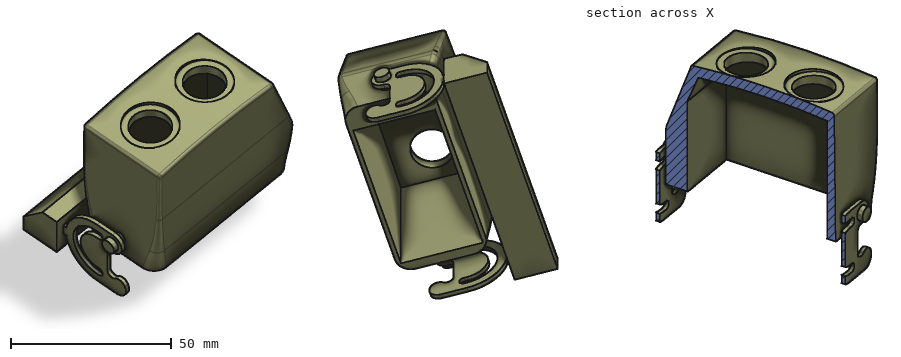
import cadquery as cq
import math


HOOD_HEIGHT = 48.2
HALF_WIDTH = 16.2
BEND_TOP = 26.3
BEND_BOTTOM = 9.9
SIDE_LEAN = 4.6
HALF_LENGTH = 31.4
END_DRAFT = 0.6
KNEE_BOTTOM = 19.3
KNEE_TOP = 22.05
END_SLOPE = 20.1
ROOF_RADIUS = 247.0
ROOF_CENTRE_Y = -4.7
ROOF_EDGE_RADIUS = 1.1
OVERSHOOT = 0.75
MIN_CORNER_RISE = 2.3
RIM_CORNER = 5.25
BEND_BOTTOM_CORNER = 3.3
KNEE_CORNER = 1.5
BEND_TOP_CORNER = 1.4

ENTRY_CENTRE_Y = -4.95
ENTRY_SPACING = 25.0
ENTRY_RADIUS = 6.85
SEAT_RADIUS = 9.2
SEAT_HEIGHT = 47.1
BORE_DEPTH = 6.1

CAVITY_HALF_WIDTH = 13.3
CAVITY_END_PLUS_Y = 23.25
CAVITY_END_MINUS_Y = -28.1
CAVITY_SLOPE_START = 33.1
CAVITY_CEILING = 44.15

PIVOT_Z = 7.1
NECK_RADIUS = 1.9
HEAD_RADIUS = 2.5
HEAD_END = 36.9
PIN_ROOT = 29.65

PLATE_INNER_Y = 33.45
PLATE_THICKNESS = 1.5
PLATE_Z = -1.9
ARC_X = -6.5
EYE_RADIUS = 3.95
RELIEF_RADIUS = 2.0
FRONT_EDGE_X = -2.1
LOWER_RELIEF_Z = -6.85
HOOK_NOSE_X = 3.0
HOOK_NOSE_RADIUS = 2.6
SLOT_RADIUS = 8.35
SLOT_WIDTH = 3.05
SLOT_TAIL = 1.0

BAR_LENGTH = 76.0
BAR_BACK_X = -34.6
BAR_BOTTOM_Z = -9.9
BAR_SIZE = 14.0
BAR_BEVEL = 8.0
TAB_HEIGHT = 3.8


def side_profile():
    """Hood outline across X, symmetric, with the sides curving inward toward the rim."""
    lean = math.radians(SIDE_LEAN)
    bend_radius = (BEND_TOP - BEND_BOTTOM) / math.sin(lean)
    bend_x = HALF_WIDTH - bend_radius * (1 - math.cos(lean))
    rim_x = bend_x - BEND_BOTTOM * math.tan(lean)
    return (
        cq.Workplane("XZ", origin=(0, HALF_LENGTH + OVERSHOOT, 0))
        .moveTo(-rim_x, 0)
        .lineTo(rim_x, 0)
        .lineTo(bend_x, BEND_BOTTOM)
        .tangentArcPoint((HALF_WIDTH, BEND_TOP), relative=False)
        .lineTo(HALF_WIDTH, HOOD_HEIGHT + OVERSHOOT)
        .lineTo(-HALF_WIDTH, HOOD_HEIGHT + OVERSHOOT)
        .lineTo(-HALF_WIDTH, BEND_TOP)
        .tangentArcPoint((-bend_x, BEND_BOTTOM), relative=False)
        .close()
        .extrude(2 * (HALF_LENGTH + OVERSHOOT))
    )


def roof_height(y):
    drop = ROOF_RADIUS - math.sqrt(ROOF_RADIUS**2 - (y - ROOF_CENTRE_Y) ** 2)
    return HOOD_HEIGHT - drop


def end_profile():
    """Hood outline along Y: drafted -Y end, domed roof, knee and slope on the +Y end."""
    slope = math.radians(END_SLOPE)
    knee_radius = (KNEE_TOP - KNEE_BOTTOM) / math.sin(slope)
    knee_y = HALF_LENGTH - knee_radius * (1 - math.cos(slope))
    roof_plus_y = knee_y - (HOOD_HEIGHT - KNEE_TOP) * math.tan(slope)
    roof_plus_y += (HOOD_HEIGHT - roof_height(roof_plus_y)) * math.tan(slope)
    roof_plus_z = KNEE_TOP + (knee_y - roof_plus_y) / math.tan(slope)
    roof_minus_y = -HALF_LENGTH + HOOD_HEIGHT * math.tan(math.radians(END_DRAFT))
    return (
        cq.Workplane("YZ", origin=(-HALF_WIDTH - OVERSHOOT, 0, 0))
        .moveTo(-HALF_LENGTH, 0)
        .lineTo(HALF_LENGTH, 0)
        .lineTo(HALF_LENGTH, KNEE_BOTTOM)
        .tangentArcPoint((knee_y, KNEE_TOP), relative=False)
        .lineTo(roof_plus_y, roof_plus_z)
        .threePointArc((ROOF_CENTRE_Y, HOOD_HEIGHT), (roof_minus_y, roof_height(roof_minus_y)))
        .close()
        .extrude(2 * (HALF_WIDTH + OVERSHOOT))
    )


def corner_radius(z):
    """Corner radius at height z, linear between the heights where the walls bend."""
    stations = [
        (0.0, RIM_CORNER),
        (BEND_BOTTOM, BEND_BOTTOM_CORNER),
        (KNEE_BOTTOM, KNEE_CORNER),
        (BEND_TOP, BEND_TOP_CORNER),
        (HOOD_HEIGHT, ROOF_EDGE_RADIUS),
    ]
    for (z0, r0), (z1, r1) in zip(stations, stations[1:]):
        if z <= z1:
            return r0 + (r1 - r0) * max(z - z0, 0.0) / (z1 - z0)
    return ROOF_EDGE_RADIUS


def round_hood(body):
    """Fillet the four corners with a radius that varies with height, then the roof edge."""
    fillet = cq.occ_impl.shapes.BRepFilletAPI_MakeFillet(body.wrapped)
    for edge in body.Edges():
        if abs(edge.endPoint().z - edge.startPoint().z) > MIN_CORNER_RISE:
            fillet.Add(edge.wrapped)
    for contour in range(1, fillet.NbContours() + 1):
        for index in range(1, fillet.NbEdges(contour) + 1):
            for vertex in cq.Edge(fillet.Edge(contour, index)).Vertices():
                fillet.SetRadius(corner_radius(vertex.Z), contour, vertex.wrapped)
    rounded = cq.Workplane(cq.Shape.cast(fillet.Shape())).solids()
    return rounded.faces(">Z").edges().fillet(ROOF_EDGE_RADIUS)


def cavity():
    """Space inside the hood, open at the rim; its +Y end slopes with the outer end."""
    slope = math.tan(math.radians(END_SLOPE))
    ceiling_plus_y = CAVITY_END_PLUS_Y - (CAVITY_CEILING - CAVITY_SLOPE_START) * slope
    roof_thickness = HOOD_HEIGHT - CAVITY_CEILING
    ceiling_plus_z = roof_height(ceiling_plus_y) - roof_thickness
    ceiling_minus_z = roof_height(CAVITY_END_MINUS_Y) - roof_thickness
    return (
        cq.Workplane("YZ")
        .moveTo(CAVITY_END_MINUS_Y, 0)
        .lineTo(CAVITY_END_PLUS_Y, 0)
        .lineTo(CAVITY_END_PLUS_Y, CAVITY_SLOPE_START)
        .lineTo(ceiling_plus_y, ceiling_plus_z)
        .threePointArc((ROOF_CENTRE_Y, CAVITY_CEILING), (CAVITY_END_MINUS_Y, ceiling_minus_z))
        .close()
        .extrude(CAVITY_HALF_WIDTH, both=True)
    )


def cable_entries():
    """Two round openings through the roof, each with a shallow flat seat around it."""
    seats = cq.Workplane("XY", origin=(0, ENTRY_CENTRE_Y, SEAT_HEIGHT)).rarray(0.75, ENTRY_SPACING, 1, 2)
    bores = seats.circle(ENTRY_RADIUS).extrude(-BORE_DEPTH)
    return seats.circle(SEAT_RADIUS).extrude(HOOD_HEIGHT - SEAT_HEIGHT).union(bores)


def lever_plate():
    """One lever plate on the -Y side: eye at the pivot, hook below, round slotted back."""
    arc_radius = PIVOT_Z + EYE_RADIUS - PLATE_Z
    top_z = PLATE_Z + arc_radius
    bottom_z = PLATE_Z - arc_radius
    hook_z = bottom_z + EYE_RADIUS

    relief_x = FRONT_EDGE_X + RELIEF_RADIUS
    eye_to_relief = EYE_RADIUS + RELIEF_RADIUS
    upper_relief_z = PIVOT_Z - math.sqrt(eye_to_relief**2 - relief_x**2)
    eye_share = EYE_RADIUS / eye_to_relief
    eye_end = (relief_x * eye_share, PIVOT_Z + (upper_relief_z - PIVOT_Z) * eye_share)

    relief_to_nose = RELIEF_RADIUS + HOOK_NOSE_RADIUS
    nose_z = LOWER_RELIEF_Z - math.sqrt(relief_to_nose**2 - (HOOK_NOSE_X - relief_x) ** 2)
    relief_share = RELIEF_RADIUS / relief_to_nose
    nose_start = (
        relief_x + (HOOK_NOSE_X - relief_x) * relief_share,
        LOWER_RELIEF_Z + (nose_z - LOWER_RELIEF_Z) * relief_share,
    )
    tip_to_nose = EYE_RADIUS - HOOK_NOSE_RADIUS
    hook_x = HOOK_NOSE_X - math.sqrt(tip_to_nose**2 - (nose_z - hook_z) ** 2)
    tip_reach = EYE_RADIUS / tip_to_nose
    nose_end = (hook_x + (HOOK_NOSE_X - hook_x) * tip_reach, hook_z + (nose_z - hook_z) * tip_reach)

    plane = cq.Workplane("XZ", origin=(0, -PLATE_INNER_Y, 0))
    plate = (
        plane.moveTo(ARC_X, top_z)
        .lineTo(0, top_z)
        .tangentArcPoint(eye_end, relative=False)
        .tangentArcPoint((FRONT_EDGE_X, upper_relief_z), relative=False)
        .lineTo(FRONT_EDGE_X, LOWER_RELIEF_Z)
        .tangentArcPoint(nose_start, relative=False)
        .tangentArcPoint(nose_end, relative=False)
        .tangentArcPoint((hook_x, bottom_z), relative=False)
        .lineTo(ARC_X, bottom_z)
        .threePointArc((ARC_X - arc_radius, PLATE_Z), (ARC_X, top_z))
        .close()
        .extrude(PLATE_THICKNESS)
    )
    outer = SLOT_RADIUS + SLOT_WIDTH / 2
    inner = SLOT_RADIUS - SLOT_WIDTH / 2
    tail_x = ARC_X + SLOT_TAIL
    slot = (
        plane.moveTo(tail_x, PLATE_Z + outer)
        .lineTo(ARC_X, PLATE_Z + outer)
        .threePointArc((ARC_X - outer, PLATE_Z), (ARC_X, PLATE_Z - outer))
        .lineTo(tail_x, PLATE_Z - outer)
        .tangentArcPoint((tail_x, PLATE_Z - inner), relative=False)
        .lineTo(ARC_X, PLATE_Z - inner)
        .threePointArc((ARC_X - inner, PLATE_Z), (ARC_X, PLATE_Z + inner))
        .lineTo(tail_x, PLATE_Z + inner)
        .tangentArcPoint((tail_x, PLATE_Z + outer), relative=False)
        .close()
        .extrude(PLATE_THICKNESS)
    )
    bar_front_x = BAR_BACK_X + BAR_SIZE
    tab_end_x = ARC_X - SLOT_RADIUS - SLOT_WIDTH
    tab = (
        plane.center((bar_front_x + tab_end_x) / 2, PLATE_Z)
        .rect(tab_end_x - bar_front_x, TAB_HEIGHT)
        .extrude(PLATE_THICKNESS)
    )
    return plate.cut(slot).union(tab)


def pivot_pin():
    """Stepped pin on the -Y end: neck out of the hood, head through and beyond the plate."""
    neck = (
        cq.Workplane("XZ", origin=(0, -PIN_ROOT, PIVOT_Z))
        .circle(NECK_RADIUS)
        .extrude(HEAD_END - PIN_ROOT)
    )
    head = (
        cq.Workplane("XZ", origin=(0, -PLATE_INNER_Y, PIVOT_Z))
        .circle(HEAD_RADIUS)
        .extrude(HEAD_END - PLATE_INNER_Y)
    )
    return neck.union(head)


def handle_bar():
    """Long bar joining the two levers, bevelled along its upper outer edge."""
    return (
        cq.Workplane("XZ", origin=(BAR_BACK_X, BAR_LENGTH / 2, BAR_BOTTOM_Z))
        .rect(BAR_SIZE, BAR_SIZE, centered=False)
        .extrude(BAR_LENGTH)
        .edges("<X and >Z")
        .chamfer(BAR_BEVEL)
    )


hood = round_hood(side_profile().intersect(end_profile()).val().Solids()[0])
hood = hood.cut(cavity()).cut(cable_entries())

lever_side = lever_plate().union(pivot_pin())
result = hood.union(lever_side).union(lever_side.mirror("XZ")).union(handle_bar())